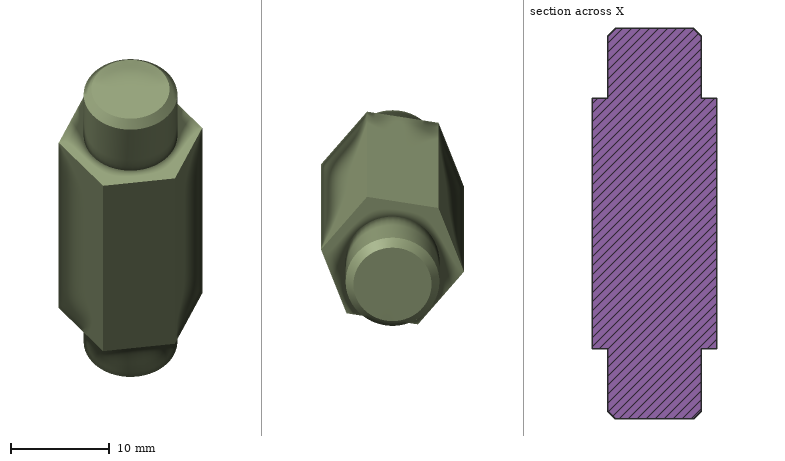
import cadquery as cq
import math

total_length = 39.57
hex_length = 25.4
across_flats = 12.7
stud_diameter = 9.5
chamfer_size = 0.8

hex_bottom = (total_length - hex_length) / 2
across_corners = across_flats / math.cos(math.pi / 6)


def chamfered_stud():
    """Round bar running the full length, chamfered at both ends."""
    bar = cq.Workplane("XY").circle(stud_diameter / 2).extrude(total_length)
    return bar.faces("<Z or >Z").chamfer(chamfer_size)


def hex_body():
    """Central hexagon with corners on the X axis and flats facing Y."""
    return (
        cq.Workplane("XY", origin=(0, 0, hex_bottom))
        .polygon(6, across_corners)
        .extrude(hex_length)
    )


result = hex_body().union(chamfered_stud())